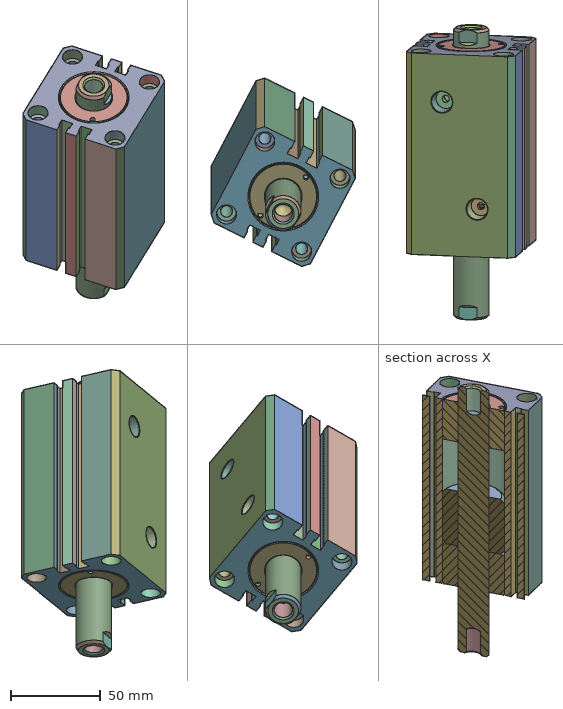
import cadquery as cq
import math

housing_width = 62.0
housing_length = 114.0
corner_chamfer = 3.6
bore_radius = 19.0
bore_chamfer = 0.7

rod_length = 164.0
rod_radius = 10.0
rod_top_reach = 10.0
rod_end_chamfer = 1.5
flat_half_width = 8.5
flat_length = 7.0
rod_hole_radius = 5.1
rod_hole_chamfer = 1.0
rod_hole_depth = 15.0

housing_top = rod_length - rod_top_reach
housing_bottom = housing_top - housing_length
housing_middle = (housing_top + housing_bottom) / 2

bolt_offset = 23.5
bolt_hole_diameter = 6.5
counterbore_diameter = 11.0
counterbore_depth = 7.0

slot_offset = 5.9
slot_mouth_width = 5.4
slot_mouth_depth = 4.5
slot_width = 6.5
slot_depth = 8.0

port_y = 10.0
port_inset = 27.0
port_radius = 5.9
port_floor_radius = 5.4
port_chamfer = 0.3
port_depth = 10.0
air_hole_diameter = 4.0

cover_length = 25.0
cover_chamfer = 0.5
cover_hole_chamfer = 0.5
spanner_hole_diameter = 2.8
spanner_hole_depth = 3.0
spanner_circle_radius = 16.7
spanner_angle = 112

piston_chamfer = 2.1
rod_bottom_reach = housing_bottom
stroke = rod_bottom_reach - rod_top_reach
piston_length = housing_length - 2 * cover_length - stroke

drill_tip_angle = 118


def z_cylinder(radius, bottom, height):
    """Cylinder on the Z axis that starts at the level `bottom`."""
    return cq.Workplane("XY", origin=(0, 0, bottom)).circle(radius).extrude(height)


def drill(radius, depth):
    """Drill shape going down from Z = 0: a straight stretch of `depth`, then a cone tip."""
    tip_height = radius / math.tan(math.radians(drill_tip_angle / 2))
    outline = [(0, 0), (radius, 0), (radius, -depth), (0, -depth - tip_height)]
    return cq.Workplane("XZ").polyline(outline).close().revolve(360, (0, 0), (0, 1))


def rim_cone(hole_radius, chamfer, top):
    """Cutter that chamfers the rim of a hole on the Z axis at the level `top`."""
    rim = cq.Workplane("XY", origin=(0, 0, top)).circle(hole_radius + chamfer)
    return rim.extrude(-chamfer, taper=45)


def mirror_end_to_end(shape, level):
    """Copy of `shape` mirrored in the horizontal plane at `level`."""
    return shape.mirror("XY", (0, 0, level))


def bolt_holes():
    holes = cq.Workplane("XY")
    for x in (-bolt_offset, bolt_offset):
        for y in (-bolt_offset, bolt_offset):
            shank = z_cylinder(bolt_hole_diameter / 2, housing_bottom, housing_length)
            head = z_cylinder(counterbore_diameter / 2, housing_top - counterbore_depth, counterbore_depth)
            lower_head = mirror_end_to_end(head, housing_middle)
            holes = holes.add(shank.union(head).union(lower_head).translate((x, y, 0)))
    return holes.combine()


def sensor_slot(x, side):
    """Undercut slot along the housing; `side` is -1 for the -Y face and 1 for the +Y face."""
    mouth_y = side * (housing_width - slot_mouth_depth) / 2
    undercut_depth = slot_depth - slot_mouth_depth
    undercut_y = side * (housing_width / 2 - slot_mouth_depth - undercut_depth / 2)
    mouth = cq.Workplane("XY").box(slot_mouth_width, slot_mouth_depth, housing_length)
    undercut = cq.Workplane("XY").box(slot_width, undercut_depth, housing_length)
    slot = mouth.translate((0, mouth_y, 0)).union(undercut.translate((0, undercut_y, 0)))
    return slot.translate((x, 0, housing_middle))


def port(y, z):
    """Port in the -X face that tapers from a chamfered rim to its floor, with an air hole into the bore."""
    mouth = port_radius + port_chamfer
    outline = [
        (0, 0),
        (0, mouth),
        (port_chamfer, port_radius),
        (port_depth, port_floor_radius),
        (port_depth, air_hole_diameter / 2),
        (housing_width / 2, air_hole_diameter / 2),
        (housing_width / 2, 0),
    ]
    cutter = cq.Workplane("XY").polyline(outline).close().revolve(360, (0, 0), (1, 0))
    return cutter.translate((-housing_width / 2, y, z))


def make_housing():
    block = cq.Workplane("XY").box(housing_width, housing_width, housing_length)
    block = block.edges("|Z").chamfer(corner_chamfer).translate((0, 0, housing_middle))
    block = block.cut(z_cylinder(bore_radius, housing_bottom, housing_length))
    rim = rim_cone(bore_radius, bore_chamfer, housing_top)
    block = block.cut(rim).cut(mirror_end_to_end(rim, housing_middle))
    block = block.cut(bolt_holes())
    for x in (-slot_offset, slot_offset):
        for side in (-1, 1):
            block = block.cut(sensor_slot(x, side))
    block = block.cut(port(port_y, housing_top - port_inset))
    return block.cut(port(-port_y, housing_bottom + port_inset))


def wrench_flat():
    """Cutter for the flat on the -X side of the upper rod end, with a 45 degree run-out below it."""
    depth = rod_radius - flat_half_width
    flat_bottom = rod_length - flat_length
    outline = [
        (-flat_half_width, rod_length),
        (-flat_half_width, flat_bottom),
        (-flat_half_width - depth, flat_bottom - depth),
        (-flat_half_width - depth, rod_length),
    ]
    return cq.Workplane("XZ").polyline(outline).close().extrude(rod_radius, both=True)


def rod_hole():
    """Blind hole in the upper rod end with a chamfered rim."""
    rim = rim_cone(rod_hole_radius, rod_hole_chamfer, rod_length)
    return drill(rod_hole_radius, rod_hole_depth).translate((0, 0, rod_length)).union(rim)


def make_rod():
    rod = z_cylinder(rod_radius, 0, rod_length).faces("<Z or >Z").chamfer(rod_end_chamfer)
    for cutter in (wrench_flat(), wrench_flat().mirror("YZ"), rod_hole()):
        rod = rod.cut(cutter).cut(mirror_end_to_end(cutter, rod_length / 2))
    return rod


def make_cover():
    """Upper cover, flush with the housing, with two spanner holes in its outer face."""
    cover = z_cylinder(bore_radius, housing_top - cover_length, cover_length)
    cover = cover.faces(">Z").chamfer(cover_chamfer)
    cover = cover.cut(z_cylinder(rod_radius, housing_top - cover_length, cover_length))
    cover = cover.cut(rim_cone(rod_radius, cover_hole_chamfer, housing_top))
    for angle in (spanner_angle, spanner_angle + 180):
        x = spanner_circle_radius * math.cos(math.radians(angle))
        y = spanner_circle_radius * math.sin(math.radians(angle))
        spanner_hole = drill(spanner_hole_diameter / 2, spanner_hole_depth)
        cover = cover.cut(spanner_hole.translate((x, y, housing_top)))
    return cover


def make_piston():
    bottom = housing_bottom + cover_length
    piston = z_cylinder(bore_radius, bottom, piston_length).faces("<Z or >Z").chamfer(piston_chamfer)
    return piston.cut(z_cylinder(rod_radius, bottom, piston_length))


housing = make_housing()
rod = make_rod()
piston = make_piston()
upper_cover = make_cover()
lower_cover = mirror_end_to_end(upper_cover, housing_middle)

result = cq.Compound.makeCompound(
    [housing.val(), rod.val(), piston.val(), upper_cover.val(), lower_cover.val()]
)